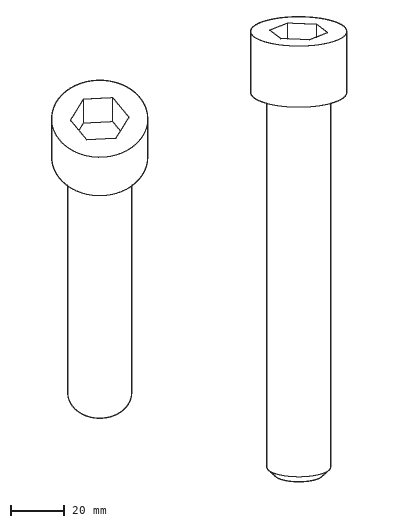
import cadquery as cq
import math

total_length = 174.0
shank_diameter = 24.0
head_diameter = 1.5 * shank_diameter
head_height = shank_diameter
shank_length = total_length - head_height
tip_chamfer = 3.0
socket_across_flats = 19.0
socket_depth = 15.0


def make_head():
    return cq.Workplane("XY").circle(head_diameter / 2).extrude(head_height)


def make_shank():
    """Plain cylinder hanging below the head, with a chamfered tip."""
    return (
        cq.Workplane("XY")
        .circle(shank_diameter / 2)
        .extrude(-shank_length)
        .faces("<Z")
        .chamfer(tip_chamfer)
    )


def make_socket():
    """Hexagonal key socket with two corners on the X axis."""
    across_corners = socket_across_flats / math.cos(math.pi / 6)
    return (
        cq.Workplane("XY")
        .workplane(offset=head_height - socket_depth)
        .polygon(6, across_corners)
        .extrude(socket_depth)
    )


result = make_head().union(make_shank()).cut(make_socket())